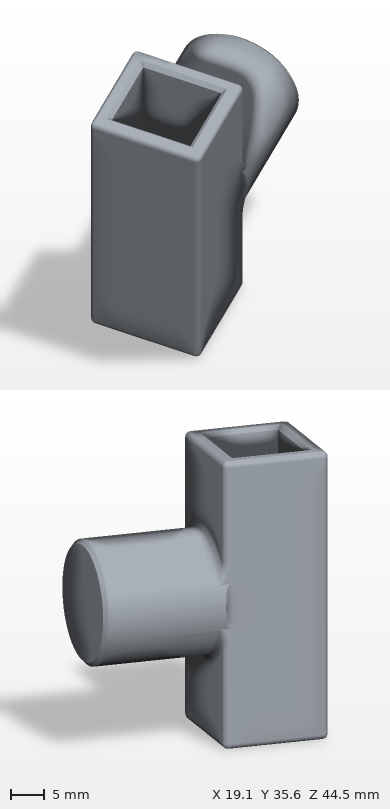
import cadquery as cq
import math

tube_width = 17.78
tube_depth = 16.51
tube_height = 44.45
edge_radius = 0.889

wall = 2.54
socket_chamfer = 0.635
floor_thickness = wall

spigot_diameter = 19.05
spigot_length = 19.05
spigot_chamfer = 0.635

flare_rise = 0.61
flare_reach = 0.889
side_blend_radius = 1.016

back_face_y = tube_depth / 2
side_face_x = tube_width / 2
top_z = tube_height / 2
spigot_radius = spigot_diameter / 2


def cylinder_along_y(radius, start_y, length):
    """Cylinder along +Y on the spigot axis, starting at start_y."""
    plane = cq.Plane(origin=(0, start_y, 0), xDir=(1, 0, 0), normal=(0, 1, 0))
    return cq.Workplane(plane).circle(radius).extrude(length)


def make_spigot():
    spigot = cylinder_along_y(spigot_radius, back_face_y, spigot_length)
    return spigot.faces(">Y").chamfer(spigot_chamfer)


def make_socket():
    mouth_z = top_z - socket_chamfer
    inner_width = tube_width - 2 * wall
    inner_depth = tube_depth - 2 * wall
    socket_depth = tube_height - floor_thickness
    bore = (
        cq.Workplane("XY", origin=(0, 0, top_z))
        .rect(inner_width, inner_depth)
        .extrude(-socket_depth)
    )
    mouth = (
        cq.Workplane("XY", origin=(0, 0, mouth_z))
        .rect(inner_width, inner_depth)
        .workplane(offset=socket_chamfer)
        .rect(inner_width + 2 * socket_chamfer, inner_depth + 2 * socket_chamfer)
        .loft(ruled=True)
    )
    return bore.union(mouth)


def make_root_flare():
    """Concave ring from the spigot down to the back face, cut flush with the tube sides."""
    inner_radius = spigot_radius - flare_reach
    outer_radius = spigot_radius + flare_reach
    buried_y = back_face_y - flare_rise
    top_y = back_face_y + flare_rise
    flare_radius = (flare_rise**2 + flare_reach**2) / (2 * flare_rise)
    ring = (
        cq.Workplane("XY")
        .moveTo(inner_radius, buried_y)
        .lineTo(outer_radius, buried_y)
        .lineTo(outer_radius, back_face_y)
        .radiusArc((spigot_radius, top_y), flare_radius)
        .lineTo(inner_radius, top_y)
        .close()
        .revolve(360, (0, 0, 0), (0, 1, 0))
    )
    between_sides = cq.Workplane("XY").box(tube_width, 2 * tube_depth, tube_height)
    return ring.intersect(between_sides)


def make_side_blends():
    """Concave blends under the two slivers of spigot that overhang the tube sides."""
    inner_x = side_face_x - side_blend_radius
    outer_x = side_face_x + side_blend_radius
    lower_y = back_face_y - side_blend_radius
    right_side = (
        cq.Workplane("XY")
        .moveTo(inner_x, lower_y)
        .lineTo(side_face_x, lower_y)
        .radiusArc((outer_x, back_face_y), side_blend_radius)
        .lineTo(inner_x, back_face_y)
        .close()
        .extrude(spigot_radius, both=True)
    )
    spigot_outline = cylinder_along_y(spigot_radius, 0, back_face_y)
    overhang_height = 2 * math.sqrt(spigot_radius**2 - side_face_x**2)
    overhang_band = cq.Workplane("XY").box(2 * spigot_diameter, 2 * tube_depth, overhang_height)
    blends = right_side.union(right_side.mirror("YZ"))
    return blends.intersect(spigot_outline).intersect(overhang_band)


def tube_outer_edges(body):
    """Straight tube edges, without the short ones under and beside the spigot."""
    shortest_kept = (tube_height - 2 * (spigot_radius + flare_reach)) / 2
    tube_box = cq.selectors.BoxSelector(
        (-tube_width, -tube_depth, -tube_height),
        (tube_width, back_face_y + flare_rise / 2, tube_height),
    )
    edges = body.edges("%LINE").edges(tube_box).vals()
    return [edge for edge in edges if edge.Length() > shortest_kept]


tube = cq.Workplane("XY").box(tube_width, tube_depth, tube_height)
body = tube.union(make_spigot()).union(make_root_flare())
body = body.newObject(tube_outer_edges(body)).fillet(edge_radius)
result = body.union(make_side_blends()).cut(make_socket()).solids()